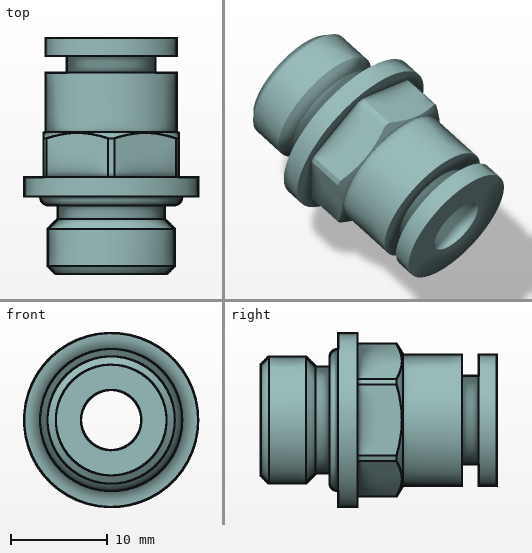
import cadquery as cq
import math


bore_diameter = 6.2
thread_diameter = 13.15
neck_diameter = 11.1
flange_diameter = 18.0
body_diameter = 13.6
groove_diameter = 9.2

thread_chamfer = 0.85
thread_end = 4.65
neck_start = thread_end + (thread_diameter - neck_diameter) / 2
flange_start = 8.0
hex_start = 10.03
hex_end = 14.7
groove_start = 20.81
groove_end = 22.52
total_length = 24.4

hex_across_flats = 14.0
hex_corner_diameter = 15.8
hex_end_diameter = 13.66
hex_chamfer_length = 0.65

seal_tube_radius = 0.9
seal_outer_diameter = 14.7


def cylinder(diameter, start, end):
    """Solid cylinder along Y between two stations."""
    return (
        cq.Workplane("XZ", origin=(0, start, 0))
        .circle(diameter / 2)
        .extrude(start - end)
    )


def make_thread():
    """Threaded plug with a lead-in chamfer, sloped shoulder and neck."""
    thread_radius = thread_diameter / 2
    neck_radius = neck_diameter / 2
    return (
        cq.Workplane("XY")
        .moveTo(0, 0)
        .lineTo(thread_radius - thread_chamfer, 0)
        .lineTo(thread_radius, thread_chamfer)
        .lineTo(thread_radius, thread_end)
        .lineTo(neck_radius, neck_start)
        .lineTo(neck_radius, flange_start)
        .lineTo(0, flange_start)
        .close()
        .revolve(360, (0, 0, 0), (0, 1, 0))
    )


def make_seal():
    """Round-section ring centred on the flange face."""
    return (
        cq.Workplane("XY")
        .center(seal_outer_diameter / 2 - seal_tube_radius, flange_start)
        .circle(seal_tube_radius)
        .revolve(360, (seal_tube_radius - seal_outer_diameter / 2, 0, 0),
                 (seal_tube_radius - seal_outer_diameter / 2, 1, 0))
    )


def make_hex():
    """Hexagon with corners toward +Z and -Z, turned round and chamfered."""
    sharp_corner_diameter = hex_across_flats / math.cos(math.pi / 6)
    hexagon = (
        cq.Workplane("XZ", origin=(0, hex_start, 0))
        .transformed(rotate=(0, 0, 90))
        .polygon(6, sharp_corner_diameter)
        .extrude(hex_start - hex_end)
    )
    turned_blank = (
        cq.Workplane("XY")
        .moveTo(0, hex_start)
        .lineTo(hex_corner_diameter / 2, hex_start)
        .lineTo(hex_corner_diameter / 2, hex_end - hex_chamfer_length)
        .lineTo(hex_end_diameter / 2, hex_end)
        .lineTo(0, hex_end)
        .close()
        .revolve(360, (0, 0, 0), (0, 1, 0))
    )
    return hexagon.intersect(turned_blank)


flange = cylinder(flange_diameter, flange_start, hex_start)
body = cylinder(body_diameter, hex_end, groove_start)
groove_core = cylinder(groove_diameter, groove_start, groove_end)
release_collar = cylinder(body_diameter, groove_end, total_length)
bore = cylinder(bore_diameter, 0, total_length)

result = (
    make_thread()
    .union(flange)
    .union(make_seal())
    .union(make_hex())
    .union(body)
    .union(groove_core)
    .union(release_collar)
    .cut(bore)
)